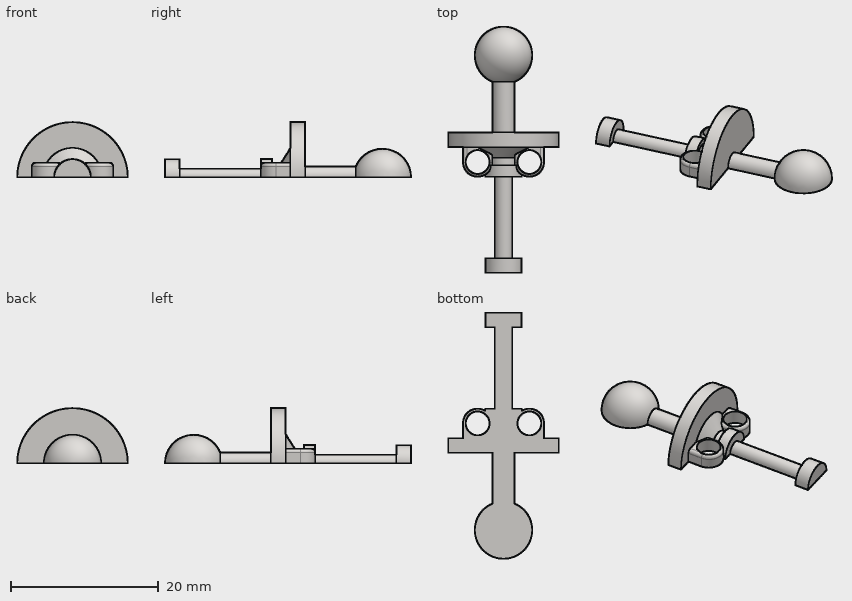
import cadquery as cq

flange_radius = 7.5
flange_thickness = 2.0

ball_radius = 3.9
overall_length = 33.3
ball_end_y = 16.32
ball_center_y = ball_end_y - ball_radius
stem_radius = 1.5

cone_radius = 4.0
cone_length = 1.4
neck_radius = 1.8
collar_radius = 2.5
collar_back_y = -2.45
collar_front_y = -4.0

rod_radius = 1.2
head_radius = 2.45
head_thickness = 2.0
head_front_y = ball_end_y - overall_length
head_back_y = head_front_y + head_thickness

lug_radius = 2.0
lug_height = 2.0
lug_center_x = 3.5
lug_center_y = collar_front_y + lug_radius
lug_hole_radius = 1.6
lug_edge_fillet = 0.5


def make_turned_body():
    """Revolve the stepped profile half a turn, over the upper half, and add the ball."""
    profile = [
        (0, head_front_y),
        (head_radius, head_front_y),
        (head_radius, head_back_y),
        (rod_radius, head_back_y),
        (rod_radius, collar_front_y),
        (collar_radius, collar_front_y),
        (collar_radius, collar_back_y),
        (neck_radius, collar_back_y),
        (neck_radius, -cone_length),
        (cone_radius, 0),
        (flange_radius, 0),
        (flange_radius, flange_thickness),
        (stem_radius, flange_thickness),
        (stem_radius, ball_center_y),
        (0, ball_center_y),
    ]
    shaft = cq.Workplane("XY").polyline(profile).close().revolve(180, (0, 0), (0, -1))
    ball = (
        cq.Workplane("XY")
        .moveTo(0, ball_center_y - ball_radius)
        .threePointArc((ball_radius, ball_center_y), (0, ball_end_y))
        .close()
        .revolve(180, (0, 0), (0, -1))
    )
    return shaft.union(ball)


def make_lug(center_x):
    """Round-ended lug joined to the flange, with its free upper edges rounded."""
    lug = (
        cq.Workplane("XY")
        .moveTo(center_x - lug_radius, 0)
        .lineTo(center_x - lug_radius, lug_center_y)
        .threePointArc((center_x, lug_center_y - lug_radius), (center_x + lug_radius, lug_center_y))
        .lineTo(center_x + lug_radius, 0)
        .close()
        .extrude(lug_height)
    )
    free_edges = lug.faces(">Z").edges("not >Y")
    return free_edges.fillet(lug_edge_fillet)


def make_lug_hole(center_x):
    """Vertical hole that also clears the cone and collar beside the lug."""
    return (
        cq.Workplane("XY")
        .center(center_x, lug_center_y)
        .circle(lug_hole_radius)
        .extrude(flange_radius)
    )


lug_positions = (-lug_center_x, lug_center_x)
result = make_turned_body()
for lug_x in lug_positions:
    result = result.union(make_lug(lug_x))
for lug_x in lug_positions:
    result = result.cut(make_lug_hole(lug_x))